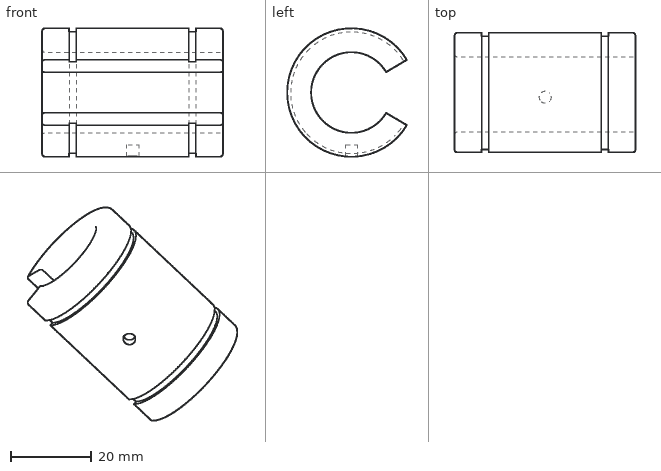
import cadquery as cq
import math

length = 45.0
outer_diameter = 32.0
bore_diameter = 20.0
opening_angle = 60.8
edge_radius = 0.75
groove_span = 31.5
groove_width = 1.75
groove_diameter = 30.3
fixing_hole_diameter = 3.0
fixing_hole_depth = 3.0

outer_radius = outer_diameter / 2
cut_reach = outer_diameter


def make_sleeve():
    """Plain tube along X, centred on the origin, with rounded end edges."""
    tube = (
        cq.Workplane("YZ")
        .circle(outer_radius)
        .circle(bore_diameter / 2)
        .extrude(length / 2, both=True)
    )
    return tube.faces("<X or >X").edges().fillet(edge_radius)


def make_groove(centre_x):
    """Ring that cuts one retaining-ring groove around the sleeve."""
    return (
        cq.Workplane("YZ", origin=(centre_x, 0, 0))
        .circle(cut_reach)
        .circle(groove_diameter / 2)
        .extrude(groove_width / 2, both=True)
    )


def make_opening():
    """Wedge with its tip on the axis that opens the sleeve toward -Y."""
    half_height = cut_reach * math.tan(math.radians(opening_angle / 2))
    return (
        cq.Workplane("YZ")
        .polyline([(0, 0), (-cut_reach, half_height), (-cut_reach, -half_height)])
        .close()
        .extrude(length, both=True)
    )


def make_fixing_hole():
    """Radial blind hole at mid-length, entering from the bottom."""
    return (
        cq.Workplane("XY", origin=(0, 0, -outer_radius))
        .circle(fixing_hole_diameter / 2)
        .extrude(fixing_hole_depth, both=True)
    )


result = make_sleeve()
for side in (-1, 1):
    groove_centre = side * (groove_span - groove_width) / 2
    result = result.cut(make_groove(groove_centre))
result = result.cut(make_opening())
result = result.cut(make_fixing_hole())